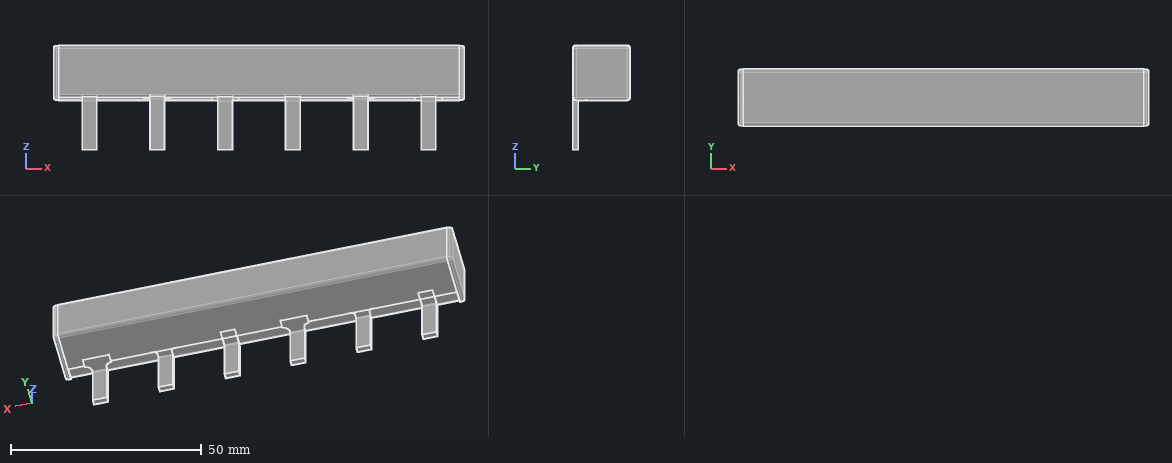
import cadquery as cq
import math

total_length = 108.0
depth = 15.1
total_height = 27.5
front_y = -depth / 2

cap_thickness = 1.4
cap_inset = 0.1
cap_rounding = 0.8

housing_bottom = 13.0
housing_length = total_length - 2 * cap_thickness
housing_height = total_height - housing_bottom
housing_rounding = 0.9
ledge_depth = 3.7
ledge_height = 0.9
lip_rounding = 0.3

pin_count = 6
pin_pitch = 17.8
pin_width = 3.9
pin_thickness = 1.5
bend_radius = 1.7
socket_depth = 2.2
middle_level = 0.2
high_level = 0.6
high_root_radius = 1.0

pad_overhang = 1.6
pad_projection = 0.2
ledge_y = front_y + ledge_depth
pad_front_y = ledge_y - pad_projection
root_y = ledge_y + socket_depth

pin_levels = [
    (middle_level, 0.0),
    (high_level, high_root_radius),
    (0.0, pad_overhang),
]


def make_housing():
    """Long bar with rounded long edges and a stepped lower front edge."""
    ledge_top = housing_bottom + ledge_height
    body = (
        cq.Workplane("YZ")
        .moveTo(front_y, total_height)
        .lineTo(-front_y, total_height)
        .lineTo(-front_y, housing_bottom)
        .lineTo(ledge_y, housing_bottom)
        .lineTo(ledge_y, ledge_top)
        .lineTo(front_y, ledge_top)
        .close()
        .extrude(housing_length / 2, both=True)
    )
    body = body.edges("|X and (<Y or >Y)").fillet(housing_rounding)
    lip_edge = cq.selectors.NearestToPointSelector((0, ledge_y, housing_bottom))
    return body.edges(lip_edge).fillet(lip_rounding)


def make_cap(side):
    """End plate with rounded outer edges; side is -1 for the -X end and +1 for the +X end."""
    center_x = side * (total_length - cap_thickness) / 2
    center_z = housing_bottom + housing_height / 2
    cap = cq.Workplane("XY").box(cap_thickness, depth - 2 * cap_inset, housing_height - 2 * cap_inset)
    cap = cap.edges("|X").fillet(cap_rounding)
    cap = cap.faces(">X" if side > 0 else "<X").edges().fillet(cap_rounding)
    return cap.translate((center_x, 0, center_z))


def make_strip(center_x, tab_bottom):
    """Flat strip that leaves the housing towards -Y and bends down to the tip."""
    tab_top = tab_bottom + pin_thickness
    inner_radius = bend_radius - pin_thickness
    bend_y = front_y + bend_radius
    bend_z = tab_top - bend_radius
    diagonal = math.sqrt(0.5)
    return (
        cq.Workplane("YZ", origin=(center_x, 0, 0))
        .moveTo(front_y, 0)
        .lineTo(front_y, bend_z)
        .threePointArc(
            (bend_y - bend_radius * diagonal, bend_z + bend_radius * diagonal),
            (bend_y, tab_top),
        )
        .lineTo(root_y, tab_top)
        .lineTo(root_y, tab_bottom)
        .lineTo(bend_y, tab_bottom)
        .threePointArc(
            (bend_y - inner_radius * diagonal, bend_z + inner_radius * diagonal),
            (front_y + pin_thickness, bend_z),
        )
        .lineTo(front_y + pin_thickness, 0)
        .close()
        .extrude(pin_width / 2, both=True)
    )


def make_pad(center_x, tab_bottom, corner_radius):
    """Wider root plate whose front runs into the strip with concave corners."""
    strip_half = pin_width / 2
    pad_half = strip_half + pad_overhang
    corner_half = strip_half + corner_radius
    corner_y = pad_front_y - corner_radius
    arc_offset = corner_radius * (1 - math.sqrt(0.5))
    pad = cq.Workplane("XY", origin=(center_x, 0, tab_bottom)).moveTo(-pad_half, root_y)
    pad = pad.lineTo(-pad_half, pad_front_y)
    if corner_radius < pad_overhang:
        pad = pad.lineTo(-corner_half, pad_front_y)
    pad = (
        pad.threePointArc((-strip_half - arc_offset, pad_front_y - arc_offset), (-strip_half, corner_y))
        .lineTo(strip_half, corner_y)
        .threePointArc((strip_half + arc_offset, pad_front_y - arc_offset), (corner_half, pad_front_y))
    )
    if corner_radius < pad_overhang:
        pad = pad.lineTo(pad_half, pad_front_y)
    return pad.lineTo(pad_half, root_y).close().extrude(pin_thickness)


def make_pin(index):
    """Complete pin at its place along the bar."""
    level, corner_radius = pin_levels[index % len(pin_levels)]
    center_x = (index - (pin_count - 1) / 2) * pin_pitch
    tab_bottom = housing_bottom + level
    pin = make_strip(center_x, tab_bottom)
    if corner_radius > 0:
        pin = pin.union(make_pad(center_x, tab_bottom, corner_radius))
    return pin


pins = [make_pin(index) for index in range(pin_count)]
caps = [make_cap(side) for side in (-1, 1)]

housing = make_housing()
for pin in pins:
    housing = housing.cut(pin)

bodies = [housing, *caps, *pins]
result = cq.Compound.makeCompound([solid for body in bodies for solid in body.solids().vals()])